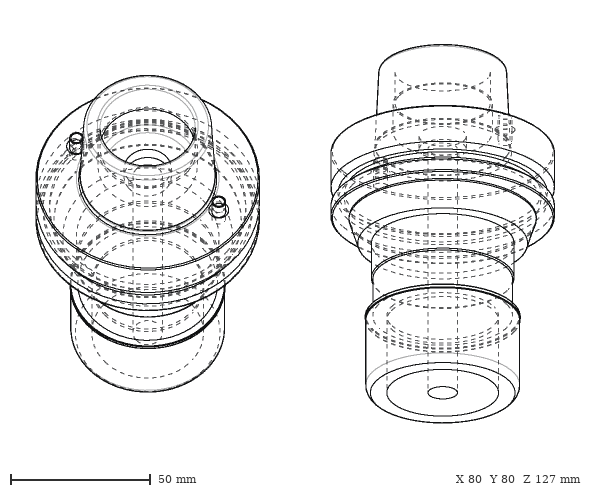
import cadquery as cq
import math

total_height = 127.0
flange_top = 95.0
flange_bottom = 69.0
collar_bottom = 58.8
neck_step = 45.2
nut_top = 30.2

taper_top_dia = 45.7
taper_base_dia = 48.5
taper_base_height = 1.9
taper_top_round = 1.1
relief_dia = 48.1
relief_chamfer_height = 0.4
relief_bottom = 95.8
moat_outer_dia = 51.0
moat_floor_dia = 49.4
moat_depth = 0.3

bore_dia = 34.0
bore_depth = 26.0
bore_round = 1.0
undercut_dia = 35.5
undercut_start = 13.2
undercut_floor_dia = 31.5
undercut_round = (undercut_dia - undercut_floor_dia) / 2
step_bore_dia = 16.9
step_bore_depth = 5.1
through_dia = 10.5

flange_dia = 80.0
flange_edge = 0.5
groove_floor_dia = 70.2
groove_shelf_dia = 74.9
groove_top = 78.7
groove_bottom = 75.6
groove_flank = 1.9

collar_top_dia = 67.0
collar_land = 0.6
collar_end_dia = 60.8
neck_dia = 51.0
lower_neck_dia = 50.0
neck_chamfer = (neck_dia - lower_neck_dia) / 2

spigot_dia = 40.0
nut_dia = 55.1
nut_inset = 1.7
nut_arc_height = 3.0
ring_dia = 55.5
ring_height = 1.5
ring_chamfer = 0.3

pin_dia = 5.0
pin_spacing = 58.0
pin_length = 10.2
pin_protrusion = 5.1
pin_hole_dia = 4.1
pin_hole_depth = 3.8
drill_point_angle = 118.0
countersink_dia = 7.1


def revolved(outline):
    """Turn a closed (radius, z) outline around the Z axis."""
    return outline.close().revolve(360, (0, 0, 0), (0, 1, 0))


def bored_from(level, diameter, depth):
    """Cylinder that reaches down from a level, for cutting a bore."""
    return cq.Workplane("XY").workplane(offset=level - depth).circle(diameter / 2).extrude(depth)


def make_holder_blank():
    """Solid of revolution: taper, flange with groove, collar, neck and spigot."""
    taper_base = flange_top + taper_base_height
    moat_arc_width = (moat_floor_dia - relief_dia) / 2
    moat_arc_height = relief_bottom - flange_top + moat_depth
    moat_arc_angle = 2 * math.atan(moat_arc_width / moat_arc_height)
    moat_arc_radius = moat_arc_height / math.sin(moat_arc_angle)
    moat_arc_middle = (
        relief_dia / 2 + moat_arc_radius * (1 - math.cos(moat_arc_angle / 2)),
        relief_bottom - moat_arc_radius * math.sin(moat_arc_angle / 2),
    )
    outline = (
        cq.Workplane("XZ")
        .moveTo(0, 0)
        .lineTo(spigot_dia / 2, 0)
        .lineTo(spigot_dia / 2, nut_top)
        .lineTo(lower_neck_dia / 2, nut_top)
        .lineTo(lower_neck_dia / 2, neck_step - neck_chamfer)
        .lineTo(neck_dia / 2, neck_step)
        .lineTo(neck_dia / 2, collar_bottom)
        .lineTo(collar_end_dia / 2, collar_bottom)
        .lineTo(collar_top_dia / 2, flange_bottom - collar_land)
        .lineTo(collar_top_dia / 2, flange_bottom)
        .lineTo(flange_dia / 2 - flange_edge, flange_bottom)
        .lineTo(flange_dia / 2, flange_bottom + flange_edge)
        .lineTo(flange_dia / 2, groove_bottom - groove_flank)
        .lineTo(groove_shelf_dia / 2, groove_bottom)
        .lineTo(groove_floor_dia / 2, groove_bottom)
        .lineTo(groove_floor_dia / 2, groove_top)
        .lineTo(groove_shelf_dia / 2, groove_top)
        .lineTo(flange_dia / 2, groove_top + groove_flank)
        .lineTo(flange_dia / 2, flange_top - flange_edge)
        .lineTo(flange_dia / 2 - flange_edge, flange_top)
        .lineTo(moat_outer_dia / 2, flange_top)
        .lineTo(moat_floor_dia / 2, flange_top - moat_depth)
        .threePointArc(moat_arc_middle, (relief_dia / 2, relief_bottom))
        .lineTo(relief_dia / 2, taper_base - relief_chamfer_height)
        .lineTo(taper_base_dia / 2, taper_base)
        .lineTo(taper_top_dia / 2, total_height)
        .lineTo(0, total_height)
    )
    return revolved(outline).faces(">Z").edges().fillet(taper_top_round)


def make_bore():
    """Cutter for the main bore, its wider undercut, the smaller step and the through hole."""
    bore_floor = total_height - bore_depth
    main_bore = bored_from(total_height, bore_dia, undercut_start)
    undercut = bored_from(total_height - undercut_start, undercut_dia, bore_depth - undercut_start)
    undercut = undercut.faces("<Z").edges().fillet(undercut_round)
    step_bore = bored_from(bore_floor, step_bore_dia, step_bore_depth)
    through_hole = bored_from(total_height, through_dia, total_height)
    return main_bore.union(undercut).union(step_bore).union(through_hole)


def make_pin_seat(x):
    """Cutter for one countersunk pin hole in the flange face."""
    hole = bored_from(flange_top, pin_dia, pin_length - pin_protrusion)
    sink_depth = (countersink_dia - pin_dia) / 2
    sink_floor = cq.Vector(0, 0, flange_top - sink_depth)
    sink = cq.Solid.makeCone(pin_dia / 2, countersink_dia / 2, sink_depth, pnt=sink_floor)
    return hole.union(cq.Workplane(sink)).translate((x, 0, 0))


def make_holder(pin_places):
    holder = make_holder_blank().cut(make_bore())
    holder = holder.faces(">Z").edges(cq.selectors.RadiusNthSelector(0)).fillet(bore_round)
    for x in pin_places:
        holder = holder.cut(make_pin_seat(x))
    return holder


def make_pin(x):
    """Pin with a drilled blind hole in its top end."""
    pin_top = flange_top + pin_protrusion
    hole_radius = pin_hole_dia / 2
    hole_floor = pin_top - pin_hole_depth
    point_depth = hole_radius / math.tan(math.radians(drill_point_angle / 2))
    outline = (
        cq.Workplane("XZ")
        .moveTo(0, pin_top - pin_length)
        .lineTo(pin_dia / 2, pin_top - pin_length)
        .lineTo(pin_dia / 2, pin_top)
        .lineTo(hole_radius, pin_top)
        .lineTo(hole_radius, hole_floor)
        .lineTo(0, hole_floor - point_depth)
    )
    return revolved(outline).translate((x, 0, 0))


def make_ring():
    """Thin ring on top of the nut, chamfered at both outer edges."""
    outline = (
        cq.Workplane("XZ")
        .moveTo(spigot_dia / 2, nut_top - ring_height)
        .lineTo(ring_dia / 2 - ring_chamfer, nut_top - ring_height)
        .lineTo(ring_dia / 2, nut_top - ring_height + ring_chamfer)
        .lineTo(ring_dia / 2, nut_top - ring_chamfer)
        .lineTo(ring_dia / 2 - ring_chamfer, nut_top)
        .lineTo(spigot_dia / 2, nut_top)
    )
    return revolved(outline)


def make_nut():
    """Nut with a rounded lower edge; the arc leaves the side smoothly and meets the end at an angle."""
    outline = (
        cq.Workplane("XZ")
        .moveTo(spigot_dia / 2, nut_top - ring_height)
        .lineTo(nut_dia / 2, nut_top - ring_height)
        .lineTo(nut_dia / 2, nut_arc_height)
        .tangentArcPoint((nut_dia / 2 - nut_inset, 0), relative=False)
        .lineTo(spigot_dia / 2, 0)
    )
    return revolved(outline)


pin_places = (-pin_spacing / 2, pin_spacing / 2)
holder = make_holder(pin_places)
nut = make_nut()
ring = make_ring()
pins = [make_pin(x) for x in pin_places]

result = cq.Compound.makeCompound([holder.val(), nut.val(), ring.val(), *[pin.val() for pin in pins]])